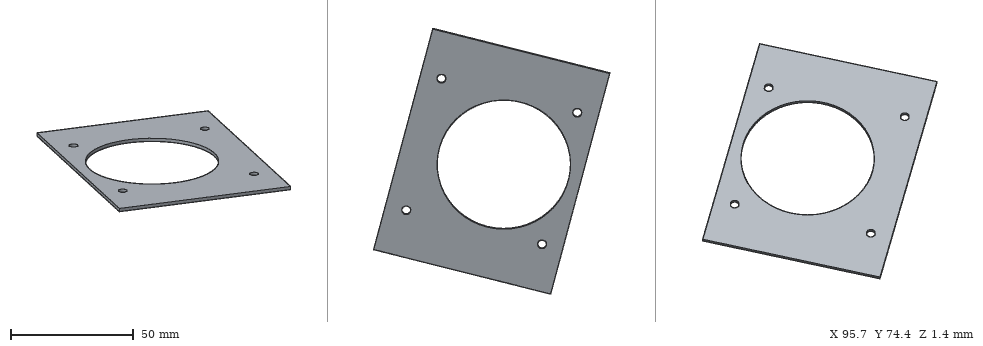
import cadquery as cq

plate_length = 95.7
plate_width = 74.4
plate_thickness = 1.4

opening_diameter = 54.2
opening_offset_y = -5.1

screw_hole_diameter = 3.5
screw_hole_spacing = 57.0

plate = cq.Workplane("XY").rect(plate_length, plate_width).extrude(plate_thickness)

opening = (
    cq.Workplane("XY")
    .center(0, opening_offset_y)
    .circle(opening_diameter / 2)
    .extrude(plate_thickness)
)

screw_holes = (
    cq.Workplane("XY")
    .rect(screw_hole_spacing, screw_hole_spacing, forConstruction=True)
    .vertices()
    .circle(screw_hole_diameter / 2)
    .extrude(plate_thickness)
)

result = plate.cut(opening).cut(screw_holes)